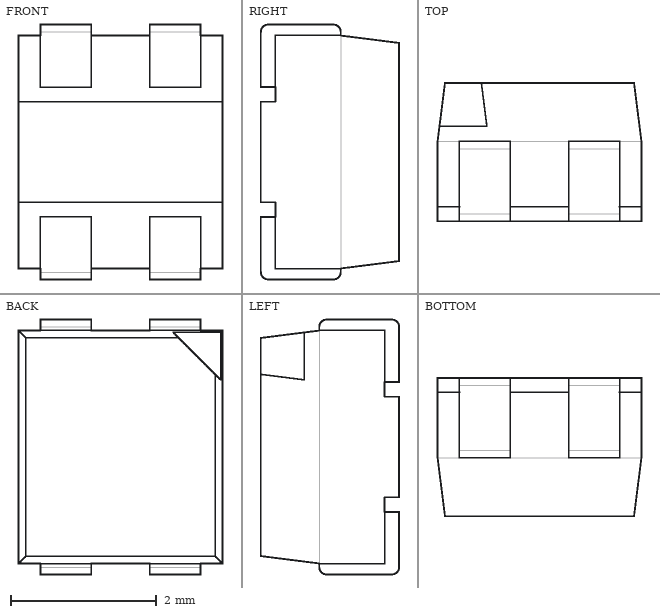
import cadquery as cq

total_height = 3.5
total_depth = 1.9
body_width = 2.8
body_height = 3.2
cap_depth = 0.8
cap_inset = 0.1
pad_depth = 0.2
pad_height = 1.382
lead_width = 0.7
lead_center_x = 0.75
lead_gap = 0.2
lead_radius = 0.1
notch_leg = 0.5
notch_depth = 0.6

back_y = -total_depth / 2
body_back_y = back_y + pad_depth
end_y = total_depth / 2
cap_base_y = end_y - cap_depth
cap_width = body_width - 2 * cap_inset
cap_height = body_height - 2 * cap_inset
lead_inner_z = pad_height / 2 + lead_gap
lead_outer_z = total_height / 2


def block(width, y_range, z_range, center_x=0):
    """Box centred on center_x, spanning the given Y and Z ranges."""
    y_start, y_end = y_range
    z_start, z_end = z_range
    return (
        cq.Workplane("XY")
        .box(width, y_end - y_start, z_end - z_start, centered=(True, False, False))
        .translate((center_x, y_start, z_start))
    )


def tapered_cap():
    """Frustum narrowing toward +Y, with one corner notched at -X, +Z."""
    base_plane = cq.Plane(origin=(0, cap_base_y, 0), xDir=(-1, 0, 0), normal=(0, 1, 0))
    cap = (
        cq.Workplane(base_plane)
        .rect(body_width, body_height)
        .workplane(offset=cap_depth)
        .rect(cap_width, cap_height)
        .loft(ruled=True)
    )
    corner_x = -cap_width / 2 - cap_inset
    corner_z = cap_height / 2 + cap_inset
    leg = notch_leg + 2 * cap_inset
    notch = (
        cq.Workplane("XZ", origin=(0, end_y, 0))
        .polyline([(corner_x, corner_z), (corner_x + leg, corner_z), (corner_x, corner_z - leg)])
        .close()
        .extrude(notch_depth)
    )
    return cap.cut(notch)


def lead(center_x):
    """Upper lead with rounded outer edges, wrapping the body edge."""
    return (
        block(lead_width, (back_y, cap_base_y), (lead_inner_z, lead_outer_z), center_x)
        .edges("|X and >Z")
        .fillet(lead_radius)
    )


body = block(body_width, (body_back_y, cap_base_y), (-body_height / 2, body_height / 2))
pad = block(body_width, (back_y, body_back_y), (-pad_height / 2, pad_height / 2))
result = body.union(pad).union(tapered_cap())

for side in (-1, 1):
    upper_lead = lead(side * lead_center_x)
    result = result.union(upper_lead).union(upper_lead.mirror("XY"))